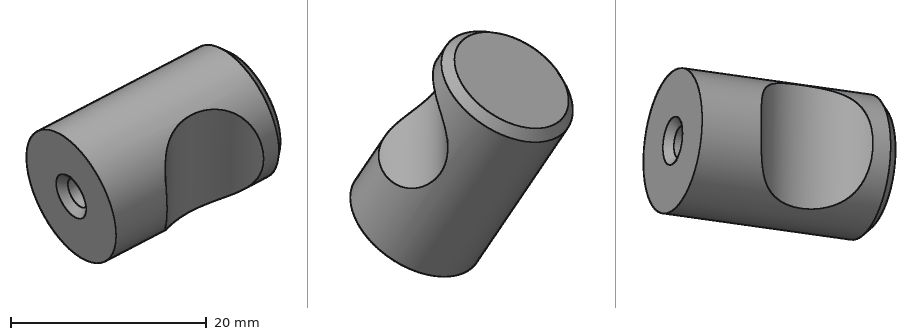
import cadquery as cq
import math

body_diameter = 15.0
body_length = 22.0
rear_chamfer = 1.0

hole_diameter = 3.3
hole_depth = 10.0
drill_point_angle = 118.0
countersink_diameter = 5.0
countersink_angle = 90.0

notch_radius = 6.85
notch_depth = 4.0
notch_center_y = 12.8

body_radius = body_diameter / 2
hole_radius = hole_diameter / 2
countersink_radius = countersink_diameter / 2


def cone_depth(large_radius, small_radius, included_angle):
    """Axial length of a cone between two radii."""
    return (large_radius - small_radius) / math.tan(math.radians(included_angle / 2))


def revolve_about_y(profile):
    return profile.close().revolve(360, (0, 0, 0), (0, 1, 0))


def make_body():
    profile = (
        cq.Workplane("XY")
        .lineTo(body_radius, 0)
        .lineTo(body_radius, body_length - rear_chamfer)
        .lineTo(body_radius - rear_chamfer, body_length)
        .lineTo(0, body_length)
    )
    return revolve_about_y(profile)


def make_hole():
    countersink_depth = cone_depth(countersink_radius, hole_radius, countersink_angle)
    drill_point_depth = cone_depth(hole_radius, 0, drill_point_angle)
    profile = (
        cq.Workplane("XY")
        .lineTo(countersink_radius, 0)
        .lineTo(hole_radius, countersink_depth)
        .lineTo(hole_radius, hole_depth)
        .lineTo(0, hole_depth + drill_point_depth)
    )
    return revolve_about_y(profile)


def make_notch():
    notch_center_x = body_radius - notch_depth + notch_radius
    return (
        cq.Workplane("XY")
        .center(notch_center_x, notch_center_y)
        .circle(notch_radius)
        .extrude(body_radius, both=True)
    )


result = make_body().cut(make_hole()).cut(make_notch())